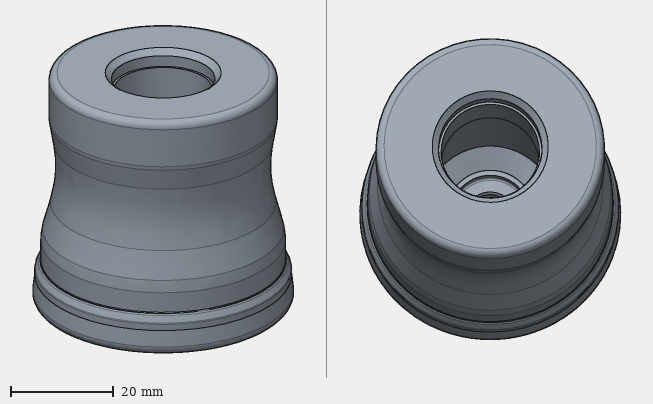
import cadquery as cq
import math

total_height = 50.8
joint_height = 7.15

head_diameter = 44.45
head_edge_fillet = 1.6
shoulder_height = 40.85
shoulder_fillet = 4.45
waist_corner_radius = 20.2
waist_corner_height = 29.4
waist_fillet = 29.9
skirt_diameter = 47.65
skirt_top_height = 16.05
skirt_top_fillet = 9.65

ledge_inner_height = 10.4
ledge_cove_fillet = 0.2
ledge_outer_diameter = 48.45
ledge_outer_height = 10.25
ledge_bead_fillet = 0.45
flange_diameter = 50.0
flange_rim_height = 8.65
flange_rim_fillet = 0.6

mouth_diameter = 20.1
mouth_chamfer = 1.2
mouth_depth = 3.5
socket_diameter = 19.1
socket_depth = 12.85
cavity_diameter = 25.4
cavity_flare_angle = 25.0

corner_radius = 25.55
corner_height = 2.4
foot_diameter = 36.35
foot_fillet = 1.75

dish_floor_diameter = 16.95
dish_slope = 30.0
counterbore_diameter = 14.95
counterbore_depth = 2.05
counterbore_floor_fillet = 0.4
bolt_hole_diameter = 8.55
bolt_hole_chamfer = 0.4


def revolve(outline):
    """Turn a closed radius-height outline about the Z axis."""
    return outline.close().revolve(360, (0, 0, 0), (0, 1, 0))


def fillet_rim(body, radius, height, size):
    """Round the circular edge at the given radius and height."""
    margin = 0.05
    reach = radius + margin
    rim = cq.selectors.BoxSelector(
        (-reach, -reach, height - margin), (reach, reach, height + margin), boundingbox=True
    )
    return body.edges(rim).edges("%CIRCLE").edges(cq.selectors.RadiusNthSelector(-1)).fillet(size)


def make_grip():
    """Waisted grip with a flange at its foot and a stepped bore that flares into a cavity."""
    head_radius = head_diameter / 2
    skirt_radius = skirt_diameter / 2
    flange_radius = flange_diameter / 2
    mouth_radius = mouth_diameter / 2
    socket_radius = socket_diameter / 2
    cavity_radius = cavity_diameter / 2
    ledge_outer_radius = ledge_outer_diameter / 2

    mouth_floor = total_height - mouth_depth
    socket_floor = total_height - socket_depth
    flare_length = (cavity_radius - socket_radius) / math.tan(math.radians(cavity_flare_angle))

    outline = (
        cq.Workplane("XZ")
        .moveTo(cavity_radius, joint_height)
        .lineTo(cavity_radius, socket_floor - flare_length)
        .lineTo(socket_radius, socket_floor)
        .lineTo(socket_radius, mouth_floor)
        .lineTo(mouth_radius, mouth_floor)
        .lineTo(mouth_radius, total_height - mouth_chamfer)
        .lineTo(mouth_radius + mouth_chamfer, total_height)
        .lineTo(head_radius, total_height)
        .lineTo(head_radius, shoulder_height)
        .lineTo(waist_corner_radius, waist_corner_height)
        .lineTo(skirt_radius, skirt_top_height)
        .lineTo(skirt_radius, ledge_inner_height)
        .lineTo(ledge_outer_radius, ledge_outer_height)
        .lineTo(flange_radius, flange_rim_height)
        .lineTo(flange_radius, joint_height)
    )
    grip = revolve(outline)
    grip = fillet_rim(grip, head_radius, total_height, head_edge_fillet)
    grip = fillet_rim(grip, waist_corner_radius, waist_corner_height, waist_fillet)
    grip = fillet_rim(grip, head_radius, shoulder_height, shoulder_fillet)
    grip = fillet_rim(grip, skirt_radius, skirt_top_height, skirt_top_fillet)
    grip = fillet_rim(grip, skirt_radius, ledge_inner_height, ledge_cove_fillet)
    grip = fillet_rim(grip, ledge_outer_radius, ledge_outer_height, ledge_bead_fillet)
    return fillet_rim(grip, flange_radius, flange_rim_height, flange_rim_fillet)


def make_base():
    """Flared base under the grip, dished on top, with a counterbored bolt hole."""
    counterbore_radius = counterbore_diameter / 2
    bolt_hole_radius = bolt_hole_diameter / 2
    cavity_radius = cavity_diameter / 2
    dish_floor_radius = dish_floor_diameter / 2
    dish_depth = (cavity_radius - dish_floor_radius) * math.tan(math.radians(dish_slope))
    dish_floor = joint_height - dish_depth
    counterbore_floor = dish_floor - counterbore_depth

    outline = (
        cq.Workplane("XZ")
        .moveTo(bolt_hole_radius, 0)
        .lineTo(foot_diameter / 2, 0)
        .lineTo(corner_radius, corner_height)
        .lineTo(flange_diameter / 2, joint_height)
        .lineTo(cavity_radius, joint_height)
        .lineTo(dish_floor_radius, dish_floor)
        .lineTo(counterbore_radius, dish_floor)
        .lineTo(counterbore_radius, counterbore_floor)
        .lineTo(bolt_hole_radius + bolt_hole_chamfer, counterbore_floor)
        .lineTo(bolt_hole_radius, counterbore_floor - bolt_hole_chamfer)
    )
    base = revolve(outline)
    base = fillet_rim(base, corner_radius, corner_height, foot_fillet)
    return fillet_rim(base, counterbore_radius, counterbore_floor, counterbore_floor_fillet)


grip = make_grip()
base = make_base()

result = cq.Compound.makeCompound([grip.val(), base.val()])